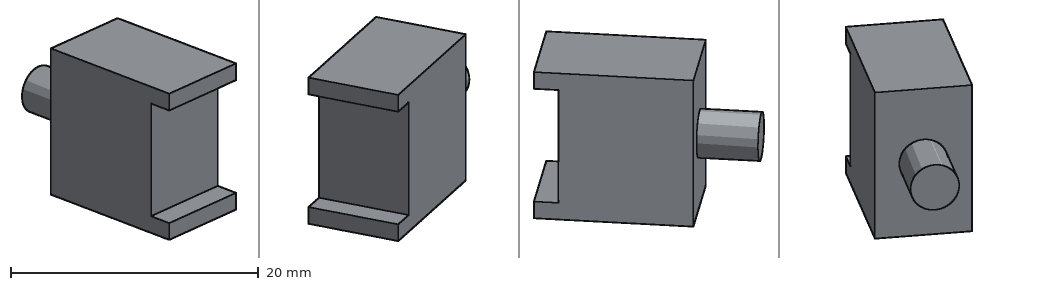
import cadquery as cq

total_length = 18.0
pin_length = 5.0
pin_diameter = 4.0
body_width = 8.0
body_height = 13.0
slot_depth = 2.0
slot_height = 10.0

body_length = total_length - pin_length

body = cq.Workplane("YZ").rect(body_width, body_height).extrude(body_length)

pin = cq.Workplane("YZ").circle(pin_diameter / 2).extrude(-pin_length)

slot = (
    cq.Workplane("YZ", origin=(body_length, 0, 0))
    .rect(body_width, slot_height)
    .extrude(-slot_depth)
)

result = body.union(pin).cut(slot)